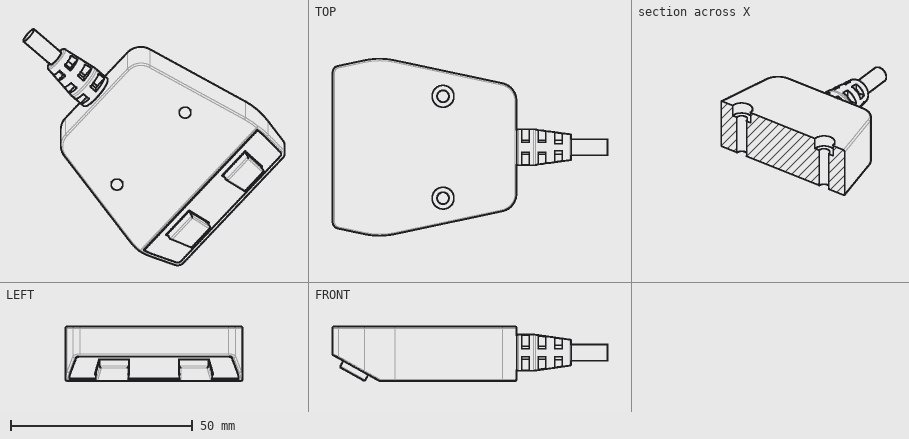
import cadquery as cq
import math

BODY_LENGTH = 50.63
BODY_WIDTH = 48.7
BODY_HEIGHT = 15.0
SIDE_ANGLE = 12.0
WIDEST_X = 12.95
WIDEST_RADIUS = 20.0
BUTTON_END_RADIUS = 2.0
CABLE_END_RADIUS = 5.0
EDGE_FILLET = 0.5

SLOPE_LENGTH = 12.9
SLOPE_RISE = 7.2
RECESS_RIM = 1.0
RECESS_DEPTH = 0.25

HOLE_X = 30.4
HOLE_SPACING = 28.0
HOLE_DIAMETER = 3.2
COUNTERBORE_DIAMETER = 6.0
COUNTERBORE_DEPTH = 3.3

BUTTON_START = 3.4
BUTTON_LENGTH = 7.9
BUTTON_HEIGHT = 2.0
BUTTON_EMBED = 1.0
BUTTON_SIDE_ANGLE = 8.0
BUTTON_INNER_Y = 7.0
BUTTON_OUTER_Y = 14.9
BUTTON_FILLET = 0.4
GROOVE_WIDTH = 0.25
GROOVE_DEPTH = 0.15

CABLE_Z = 7.8
CABLE_DIAMETER = 4.5
CABLE_FREE_LENGTH = 10.0
CABLE_EMBED = 1.0
RELIEF_LENGTH = 15.0
RELIEF_DIAMETER = 10.0
RELIEF_TIP_DIAMETER = 7.1
RELIEF_STRAIGHT_LENGTH = 4.85
RELIEF_BLEND_RADIUS = 4.0
RELIEF_END_FILLET = 0.4

WINDOW_WIDTH = 2.1
WINDOW_START = 1.4
WINDOW_PITCH = 4.55
VERTICAL_RIB_WIDTHS = [2.8, 2.8, 2.0]
SIDE_RIB_WIDTH = 2.2

SLOPE_PLANE = cq.Plane(
    origin=(0, 0, SLOPE_RISE),
    xDir=(SLOPE_LENGTH, 0, -SLOPE_RISE),
    normal=(-SLOPE_RISE, 0, -SLOPE_LENGTH),
)
TAN_SIDE = math.tan(math.radians(SIDE_ANGLE))


def make_housing():
    """Six-sided plate with rounded corners, a sloped underside and soft edges."""
    corner_trim = WIDEST_RADIUS * (1 / math.cos(math.radians(SIDE_ANGLE)) - 1)
    peak_y = BODY_WIDTH / 2 + corner_trim
    button_end_y = peak_y - WIDEST_X * TAN_SIDE
    cable_end_y = peak_y - (BODY_LENGTH - WIDEST_X) * TAN_SIDE

    plate = (
        cq.Workplane("XY")
        .moveTo(0, -button_end_y)
        .lineTo(WIDEST_X, -peak_y)
        .lineTo(BODY_LENGTH, -cable_end_y)
        .lineTo(BODY_LENGTH, cable_end_y)
        .lineTo(WIDEST_X, peak_y)
        .lineTo(0, button_end_y)
        .close()
        .extrude(BODY_HEIGHT)
    )
    plate = plate.edges("|Z").edges("<X").fillet(BUTTON_END_RADIUS)
    plate = plate.edges("|Z").edges(">X").fillet(CABLE_END_RADIUS)
    plate = plate.edges("|Z").edges(">Y or <Y").fillet(WIDEST_RADIUS)

    wedge = (
        cq.Workplane("XZ")
        .polyline([(0, 0), (SLOPE_LENGTH, 0), (0, SLOPE_RISE)])
        .close()
        .extrude(BODY_WIDTH, both=True)
    )
    plate = plate.cut(wedge)
    softened = plate.edges("not |Z").fillet(EDGE_FILLET)
    return softened.cut(make_slope_recess(plate))


def make_slope_recess(plate):
    """Shallow panel let into the sloped underside, leaving an even rim around it."""
    slope_length = math.hypot(SLOPE_LENGTH, SLOPE_RISE)
    panel = (
        cq.Workplane(SLOPE_PLANE)
        .rect(2 * (slope_length - RECESS_RIM), BODY_WIDTH)
        .extrude(-RECESS_DEPTH)
    )
    inside_rim = (
        cq.Workplane("XY")
        .add(plate.faces(">Z").wires())
        .toPending()
        .offset2D(-RECESS_RIM)
        .extrude(-BODY_HEIGHT)
    )
    return panel.intersect(inside_rim)


def button_outline(side, level):
    """Button outline on the +Y (side=1) or -Y (side=-1) half, at a level above the slope."""
    button_end = BUTTON_START + BUTTON_LENGTH
    outer_end_y = BUTTON_OUTER_Y + BUTTON_LENGTH * math.tan(math.radians(BUTTON_SIDE_ANGLE))
    return (
        cq.Workplane(SLOPE_PLANE)
        .workplane(offset=level)
        .moveTo(BUTTON_START, -side * BUTTON_INNER_Y)
        .lineTo(button_end, -side * BUTTON_INNER_Y)
        .lineTo(button_end, -side * outer_end_y)
        .lineTo(BUTTON_START, -side * BUTTON_OUTER_Y)
        .close()
    )


def add_button(housing, side):
    """Button standing in a narrow clearance groove in the recessed panel."""
    groove = (
        button_outline(side, -RECESS_DEPTH - GROOVE_DEPTH)
        .offset2D(GROOVE_WIDTH, "intersection")
        .extrude(GROOVE_DEPTH + RECESS_DEPTH)
    )
    button = (
        button_outline(side, -BUTTON_EMBED)
        .extrude(BUTTON_EMBED + BUTTON_HEIGHT)
        .faces(cq.selectors.DirectionMinMaxSelector(SLOPE_PLANE.zDir))
        .edges()
        .fillet(BUTTON_FILLET)
    )
    return housing.cut(groove).union(button)


def make_relief():
    """Strain relief: a straight length blending into a cone, along X from the housing."""
    profile = (
        cq.Workplane("XZ")
        .lineTo(0, RELIEF_DIAMETER / 2)
        .lineTo(RELIEF_STRAIGHT_LENGTH, RELIEF_DIAMETER / 2)
        .lineTo(RELIEF_LENGTH, RELIEF_TIP_DIAMETER / 2)
        .lineTo(RELIEF_LENGTH, 0)
        .close()
    )
    relief = profile.revolve(360, (0, 0, 0), (1, 0, 0))
    relief = relief.edges("%CIRCLE").edges(">>X[1]").fillet(RELIEF_BLEND_RADIUS)
    relief = relief.faces("<X or >X").edges().fillet(RELIEF_END_FILLET)
    for station, rib_width in enumerate(VERTICAL_RIB_WIDTHS):
        relief = relief.cut(make_windows(station, rib_width))
    return relief.translate((BODY_LENGTH, 0, CABLE_Z))


def make_windows(station, rib_width):
    """Four corner blocks at one station; the gaps between them are the ribs."""
    window_x = WINDOW_START + station * WINDOW_PITCH + WINDOW_WIDTH / 2
    block_size = RELIEF_DIAMETER
    return (
        cq.Workplane("YZ", origin=(window_x, 0, 0))
        .rect(rib_width + block_size, SIDE_RIB_WIDTH + block_size, forConstruction=True)
        .vertices()
        .rect(block_size, block_size)
        .extrude(WINDOW_WIDTH / 2, both=True)
    )


def make_cable():
    """Round cable running through the strain relief and out past its tip."""
    return (
        cq.Workplane("YZ", origin=(BODY_LENGTH - CABLE_EMBED, 0, CABLE_Z))
        .circle(CABLE_DIAMETER / 2)
        .extrude(CABLE_EMBED + RELIEF_LENGTH + CABLE_FREE_LENGTH)
    )


def drill_mounting_holes(body):
    """Two through holes, counterbored from the top face."""
    return (
        body.faces(">Z")
        .workplane(origin=(HOLE_X, 0, BODY_HEIGHT))
        .pushPoints([(0, -HOLE_SPACING / 2), (0, HOLE_SPACING / 2)])
        .cboreHole(HOLE_DIAMETER, COUNTERBORE_DIAMETER, COUNTERBORE_DEPTH)
    )


housing = drill_mounting_holes(make_housing())
for side in (-1, 1):
    housing = add_button(housing, side)
result = housing.union(make_relief()).union(make_cable())